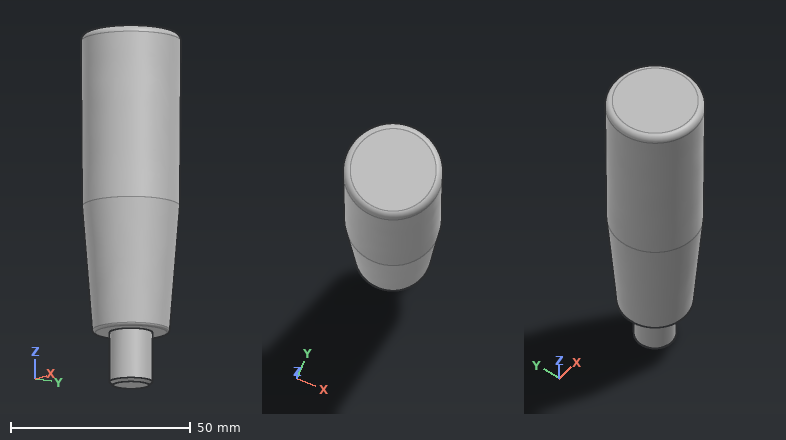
import cadquery as cq

total_height = 100.0
top_diameter = 28.0

stud_length = 15.0
stud_diameter = 12.0
stud_tip_diameter = 10.1
stud_chamfer = (stud_diameter - stud_tip_diameter) / 2

bottom_diameter = 21.6
waist_diameter = 27.3
waist_height = 51.0
top_rounding = 2.0
bottom_rounding = 0.8


def make_grip():
    """Revolve the grip's half profile about Z and round both end edges."""
    profile = (
        cq.Workplane("XZ")
        .moveTo(0, stud_length)
        .lineTo(bottom_diameter / 2, stud_length)
        .lineTo(waist_diameter / 2, waist_height)
        .lineTo(top_diameter / 2, total_height)
        .lineTo(0, total_height)
        .close()
    )
    grip = profile.revolve(360, (0, 0, 0), (0, 1, 0))
    grip = grip.faces(">Z").edges().fillet(top_rounding)
    return grip.faces("<Z").edges().fillet(bottom_rounding)


def make_stud():
    """Pin along Z from the origin up to the grip, chamfered at its free end."""
    stud = cq.Workplane("XY").circle(stud_diameter / 2).extrude(stud_length)
    return stud.faces("<Z").edges().chamfer(stud_chamfer)


result = make_grip().union(make_stud())